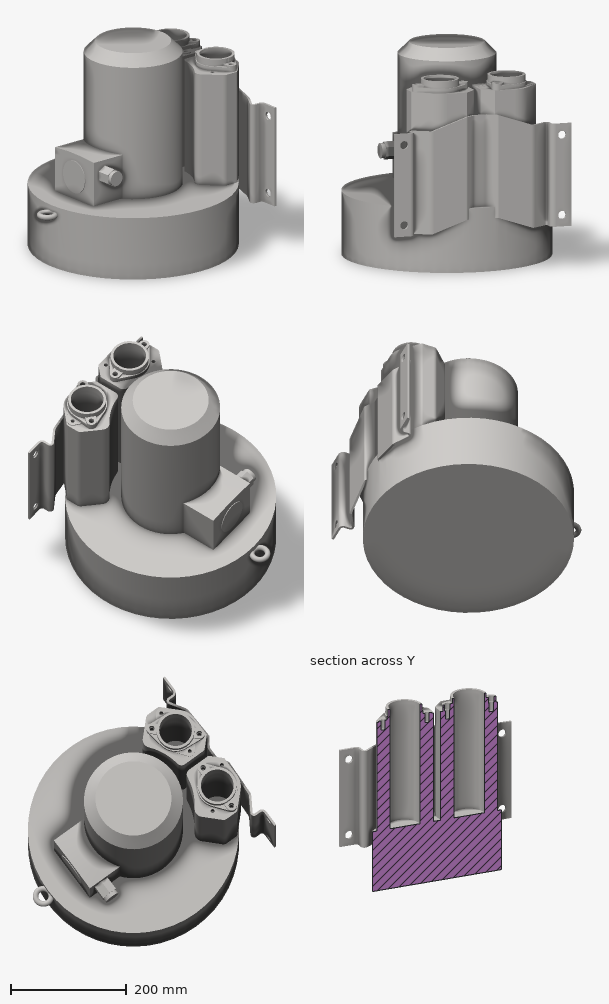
import cadquery as cq
import math

HOUSING_DIAMETER = 365.5
HOUSING_HEIGHT = 113.0

MOTOR_DIAMETER = 171.5
MOTOR_CHAMFER = 20.0
TOTAL_HEIGHT = 374.5

BOX_WIDTH = 105.3
BOX_FRONT_Y = -132.5
BOX_SIDE_BOTTOM_Z = 114.0
BOX_SIDE_HEIGHT = 79.8
BOX_CROWN = 2.8
BOX_DISC_DIAMETER = 59.0
BOX_DISC_HEIGHT = 1.0

GLAND_Y = -107.5
GLAND_Z = 167.5
GLAND_HEX_CORNERS = 32.0
GLAND_HEX_LENGTH = 24.7
GLAND_TIP_DIAMETER = 26.5
GLAND_TIP_LENGTH = 7.0

EYE_Y = -193.5
EYE_Z = 97.5
EYE_RING_RADIUS = 13.5
EYE_TUBE_RADIUS = 4.8

COLUMN_TOP_Z = 316.2
COLUMN_INNER_X = 6.0
COLUMN_OUTER_X = 115.0
COLUMN_BACK_Y = 176.2
COLUMN_INNER_CHAMFER = 19.5
COLUMN_OUTER_CHAMFER = 38.0
COLUMN_FRONT_CORNER_Y = 112.0
COLUMN_SCOOP_RADIUS = 106.0
COLUMN_INNER_FILLET = 4.0
COLUMN_BACK_FILLET = 34.0
COLUMN_SIDE_FILLET = 4.8
COLUMN_FRONT_FILLET = 10.0
COLUMN_TIP_FILLET = 14.0

PORT_X = 61.0
PORT_Y = 135.0
PORT_BORE_DIAMETER = 56.5
NECK_DIAMETER = 65.8
NECK_TOP_Z = 336.5
FLANGE_BODY_RADIUS = 34.5
FLANGE_THICKNESS = 8.0
LUG_DISTANCE = 41.5
LUG_RADIUS = 9.0
LUG_PAD_TOP_Z = 327.8
LUG_HOLE_DIAMETER = 9.5
SCREW_HEAD_CLEARANCE = 18.5
THREAD_HOLE_DIAMETER = 6.8
THREAD_HOLE_DEPTH = 16.0
LUG_TURN = 47.5
GASKET_THICKNESS = 1.5

SHEET = 4.0
BRACKET_BOTTOM_Z = 71.8
WING_TOP_Z = 253.0
PANEL_RISE = 21.5
WING_TIP_X = 162.5
WING_Y = 185.0
STEP_X = 127.0
VALLEY_Y = 161.0
PANEL_Y = 182.2
PANEL_OUTER_X = 93.0
PANEL_INNER_X = 29.0
DIP_X = 12.0
DIP_Y = 170.3
DIP_BEND = 8.0
PANEL_INNER_BEND = 1.0
PANEL_OUTER_BEND = 10.0
VALLEY_BEND = 2.5
WING_BEND = 5.0
WING_HOLE_X = 145.0
WING_HOLE_DIAMETER = 14.5
WING_HOLE_MARGIN = 20.0


def cylinder(diameter, bottom_z, top_z, x=0.0, y=0.0):
    """Upright cylinder between two heights."""
    disc = cq.Workplane("XY", origin=(x, y, bottom_z)).circle(diameter / 2)
    return disc.extrude(top_z - bottom_z)


def make_motor():
    motor = cylinder(MOTOR_DIAMETER, HOUSING_HEIGHT, TOTAL_HEIGHT)
    return motor.faces(">Z").chamfer(MOTOR_CHAMFER)


def make_terminal_box():
    half = BOX_WIDTH / 2
    top = BOX_SIDE_BOTTOM_Z + BOX_SIDE_HEIGHT
    section = (
        cq.Workplane("XZ")
        .moveTo(-half, BOX_SIDE_BOTTOM_Z)
        .threePointArc((0, BOX_SIDE_BOTTOM_Z - BOX_CROWN), (half, BOX_SIDE_BOTTOM_Z))
        .lineTo(half, top)
        .threePointArc((0, top + BOX_CROWN), (-half, top))
        .close()
    )
    box = section.extrude(-BOX_FRONT_Y)
    disc_z = BOX_SIDE_BOTTOM_Z + BOX_SIDE_HEIGHT / 2
    disc = cq.Workplane("XZ", origin=(0, BOX_FRONT_Y, disc_z)).circle(BOX_DISC_DIAMETER / 2)
    return box.union(disc.extrude(BOX_DISC_HEIGHT))


def make_cable_gland():
    start = cq.Workplane("YZ", origin=(BOX_WIDTH / 2, GLAND_Y, GLAND_Z))
    nut = start.transformed(rotate=(0, 0, 90)).polygon(6, GLAND_HEX_CORNERS).extrude(GLAND_HEX_LENGTH)
    tip = start.circle(GLAND_TIP_DIAMETER / 2).extrude(GLAND_HEX_LENGTH + GLAND_TIP_LENGTH)
    return nut.union(tip)


def make_lifting_eye():
    ring = cq.Solid.makeTorus(EYE_RING_RADIUS, EYE_TUBE_RADIUS, cq.Vector(0, EYE_Y, EYE_Z))
    return cq.Workplane(ring)


def fillet_upright_edge(body, x, y, radius):
    """Round the vertical edge of the body that lies nearest to (x, y)."""
    middle = body.val().Center().z
    return body.edges("|Z").edges(cq.selectors.NearestToPointSelector((x, y, middle))).fillet(radius)


def make_column():
    """Column on the +X side; its front is scooped out around the motor axis."""
    inner_back_y = COLUMN_BACK_Y - COLUMN_INNER_CHAMFER
    outer_back_y = COLUMN_BACK_Y - COLUMN_OUTER_CHAMFER
    inner_back_x = COLUMN_INNER_X + COLUMN_INNER_CHAMFER
    outer_back_x = COLUMN_OUTER_X - COLUMN_OUTER_CHAMFER
    front_x = COLUMN_OUTER_X - COLUMN_FRONT_CORNER_Y
    outline = [
        (COLUMN_INNER_X, inner_back_y),
        (inner_back_x, COLUMN_BACK_Y),
        (outer_back_x, COLUMN_BACK_Y),
        (COLUMN_OUTER_X, outer_back_y),
        (COLUMN_OUTER_X, COLUMN_FRONT_CORNER_Y),
        (COLUMN_INNER_X, COLUMN_INNER_X - front_x),
    ]
    block = cq.Workplane("XY", origin=(0, 0, HOUSING_HEIGHT)).polyline(outline).close()
    column = block.extrude(COLUMN_TOP_Z - HOUSING_HEIGHT)
    column = column.cut(cylinder(2 * COLUMN_SCOOP_RADIUS, HOUSING_HEIGHT, COLUMN_TOP_Z))

    inner_front_y = math.sqrt(COLUMN_SCOOP_RADIUS**2 - COLUMN_INNER_X**2)
    tip = COLUMN_SCOOP_RADIUS * math.sqrt(0.5)
    column = fillet_upright_edge(column, COLUMN_INNER_X, inner_back_y, COLUMN_INNER_FILLET)
    column = fillet_upright_edge(column, outer_back_x, COLUMN_BACK_Y, COLUMN_BACK_FILLET)
    column = fillet_upright_edge(column, COLUMN_OUTER_X, outer_back_y, COLUMN_SIDE_FILLET)
    column = fillet_upright_edge(column, COLUMN_OUTER_X, COLUMN_FRONT_CORNER_Y, COLUMN_FRONT_FILLET)
    column = fillet_upright_edge(column, COLUMN_INNER_X, inner_front_y, COLUMN_FRONT_FILLET)
    return fillet_upright_edge(column, tip, tip, COLUMN_TIP_FILLET)


def lug_points(angle):
    """Positions of two opposite lugs about the port axis."""
    turn = math.radians(angle)
    x = LUG_DISTANCE * math.cos(turn)
    y = LUG_DISTANCE * math.sin(turn)
    return [(x, y), (-x, -y)]


def two_lug_plate(thickness, bottom_z):
    """Plate made of a round body tangent to a smaller round lug on each side."""
    lean = math.acos((FLANGE_BODY_RADIUS - LUG_RADIUS) / LUG_DISTANCE)
    body_x = FLANGE_BODY_RADIUS * math.cos(lean)
    body_y = FLANGE_BODY_RADIUS * math.sin(lean)
    lug_x = LUG_DISTANCE + LUG_RADIUS * math.cos(lean)
    lug_y = LUG_RADIUS * math.sin(lean)
    lug_end = LUG_DISTANCE + LUG_RADIUS
    return (
        cq.Workplane("XY", origin=(0, 0, bottom_z))
        .moveTo(body_x, body_y)
        .threePointArc((0, FLANGE_BODY_RADIUS), (-body_x, body_y))
        .lineTo(-lug_x, lug_y)
        .threePointArc((-lug_end, 0), (-lug_x, -lug_y))
        .lineTo(-body_x, -body_y)
        .threePointArc((0, -FLANGE_BODY_RADIUS), (body_x, -body_y))
        .lineTo(lug_x, -lug_y)
        .threePointArc((lug_end, 0), (lug_x, lug_y))
        .close()
        .extrude(thickness)
    )


def make_flange():
    """Flange on the Z axis with its lugs along X and its bore still closed."""
    flange = two_lug_plate(FLANGE_THICKNESS, COLUMN_TOP_Z)
    base = cq.Workplane("XY", origin=(0, 0, COLUMN_TOP_Z))
    pads = base.slot2D(2 * (LUG_DISTANCE + LUG_RADIUS), 2 * LUG_RADIUS).extrude(LUG_PAD_TOP_Z - COLUMN_TOP_Z)
    neck = cylinder(NECK_DIAMETER, COLUMN_TOP_Z, NECK_TOP_Z)
    flange = flange.union(pads).union(neck)
    for x, y in lug_points(0):
        flange = flange.cut(cylinder(LUG_HOLE_DIAMETER, COLUMN_TOP_Z, LUG_PAD_TOP_Z, x, y))
        flange = flange.cut(cylinder(SCREW_HEAD_CLEARANCE, LUG_PAD_TOP_Z, NECK_TOP_Z, x, y))
    return flange


def make_gasket():
    gasket = two_lug_plate(GASKET_THICKNESS, COLUMN_TOP_Z)
    for x, y in lug_points(0):
        gasket = gasket.cut(cylinder(THREAD_HOLE_DIAMETER, COLUMN_TOP_Z, NECK_TOP_Z, x, y))
    return gasket


def make_right_port():
    return make_flange().translate((PORT_X, PORT_Y, 0))


def make_left_port():
    """The left flange is turned and leaves the gasket lugs showing."""
    flange = make_flange().rotate((0, 0, 0), (0, 0, 1), LUG_TURN)
    gasket = make_gasket()
    for x, y in lug_points(LUG_TURN):
        gasket = gasket.cut(cylinder(LUG_HOLE_DIAMETER, COLUMN_TOP_Z, LUG_PAD_TOP_Z, x, y))
    return flange.union(gasket).translate((-PORT_X, PORT_Y, 0))


def make_port_cuts():
    """Bores down to the housing and the four thread holes of each column."""
    cuts = cq.Workplane("XY")
    for side in (-1, 1):
        center_x = side * PORT_X
        cuts = cuts.union(cylinder(PORT_BORE_DIAMETER, HOUSING_HEIGHT, NECK_TOP_Z, center_x, PORT_Y))
        for x, y in lug_points(0) + lug_points(-side * LUG_TURN):
            hole_bottom = COLUMN_TOP_Z - THREAD_HOLE_DEPTH
            hole = cylinder(THREAD_HOLE_DIAMETER, hole_bottom, COLUMN_TOP_Z, center_x + x, PORT_Y + y)
            cuts = cuts.union(hole)
    return cuts


def offset_path(path, distance):
    """Shift an open path sideways, mitring its corners; its end legs run along X."""
    directions = []
    for (x0, y0), (x1, y1) in zip(path, path[1:]):
        directions.append(math.atan2(y1 - y0, x1 - x0))
    before = [directions[0]] + directions
    after = directions + [directions[-1]]
    shifted = []
    for (x, y), a, b in zip(path, before, after):
        normal = (a + b) / 2 + math.pi / 2
        reach = distance / math.cos((b - a) / 2)
        shifted.append((x + reach * math.cos(normal), y + reach * math.sin(normal)))
    return shifted


def make_bracket():
    bends = [
        (DIP_X, DIP_Y, DIP_BEND),
        (PANEL_INNER_X, PANEL_Y, PANEL_INNER_BEND),
        (PANEL_OUTER_X, PANEL_Y, PANEL_OUTER_BEND),
        (STEP_X, VALLEY_Y, VALLEY_BEND),
        (STEP_X, WING_Y, WING_BEND),
    ]
    right = [(x, y) for x, y, radius in bends] + [(WING_TIP_X, WING_Y)]
    left = [(-x, y) for x, y in reversed(right)]
    path = left + right
    back = offset_path(path, SHEET / 2)
    front = offset_path(path, -SHEET / 2)
    height = WING_TOP_Z + PANEL_RISE - BRACKET_BOTTOM_Z
    profile = cq.Workplane("XY", origin=(0, 0, BRACKET_BOTTOM_Z)).polyline(back + front[::-1]).close()
    bracket = profile.extrude(height)

    radii = [radius for x, y, radius in bends]
    radii = radii[::-1] + radii
    for i, inner_radius in enumerate(radii, start=1):
        (x0, y0), (x1, y1), (x2, y2) = path[i - 1:i + 2]
        turns_left = (x1 - x0) * (y2 - y1) > (y1 - y0) * (x2 - x1)
        inner, outer = (back[i], front[i]) if turns_left else (front[i], back[i])
        bracket = fillet_upright_edge(bracket, *inner, inner_radius)
        bracket = fillet_upright_edge(bracket, *outer, inner_radius + SHEET)

    lower = [
        (PANEL_INNER_X, BRACKET_BOTTOM_Z + PANEL_RISE),
        (PANEL_OUTER_X, BRACKET_BOTTOM_Z),
        (WING_TIP_X, BRACKET_BOTTOM_Z),
    ]
    upper = [
        (WING_TIP_X, WING_TOP_Z),
        (PANEL_OUTER_X, WING_TOP_Z),
        (PANEL_INNER_X, WING_TOP_Z + PANEL_RISE),
    ]
    right_half = lower + upper
    shape = right_half + [(-x, z) for x, z in reversed(right_half)]
    envelope = cq.Workplane("XZ").polyline(shape).close().extrude(-HOUSING_DIAMETER)
    bracket = bracket.intersect(envelope)

    hole_heights = (BRACKET_BOTTOM_Z + WING_HOLE_MARGIN, WING_TOP_Z - WING_HOLE_MARGIN)
    hole_centers = [(x, z) for x in (-WING_HOLE_X, WING_HOLE_X) for z in hole_heights]
    holes = cq.Workplane("XZ").pushPoints(hole_centers).circle(WING_HOLE_DIAMETER / 2)
    return bracket.cut(holes.extrude(-HOUSING_DIAMETER))


column = make_column()
result = (
    cylinder(HOUSING_DIAMETER, 0, HOUSING_HEIGHT)
    .union(make_motor())
    .union(make_terminal_box())
    .union(make_cable_gland())
    .union(make_lifting_eye())
    .union(column)
    .union(column.mirror("YZ"))
    .union(make_left_port())
    .union(make_right_port())
    .cut(make_port_cuts())
    .union(make_bracket())
)